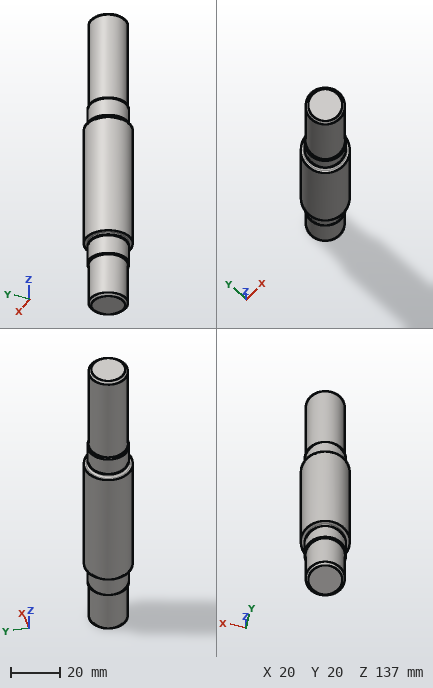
import cadquery as cq

length = 137.0
body_radius = 10.0
journal_diameter = 16.0
journal_radius = journal_diameter / 2
collar_radius = 8.5
end_chamfer = 1.1

body_bottom = 30.0
body_top = 85.0
lower_collar_bottom = 20.0
lower_collar_top = 28.5
upper_collar_bottom = 87.0
upper_collar_top = 95.0
collar_lead_in = 0.8
lower_collar_chamfer = 0.4

upper_root_fillet = 1.0
lower_root_fillet = 0.5
upper_neck = upper_collar_bottom - collar_lead_in

half_section = (
    cq.Workplane("XZ")
    .lineTo(journal_radius - end_chamfer, 0)
    .lineTo(journal_radius, end_chamfer)
    .lineTo(journal_radius, lower_collar_bottom - lower_collar_chamfer)
    .lineTo(collar_radius, lower_collar_bottom)
    .lineTo(collar_radius, lower_collar_top)
    .lineTo(journal_radius, lower_collar_top + collar_lead_in)
    .lineTo(journal_radius, body_bottom - lower_root_fillet)
    .radiusArc((journal_radius + lower_root_fillet, body_bottom), lower_root_fillet)
    .lineTo(body_radius, body_bottom)
    .lineTo(body_radius, body_top)
    .lineTo(journal_radius + upper_root_fillet, body_top)
    .radiusArc((journal_radius, body_top + upper_root_fillet), upper_root_fillet)
    .lineTo(journal_radius, upper_neck)
    .lineTo(collar_radius, upper_collar_bottom)
    .lineTo(collar_radius, upper_collar_top)
    .lineTo(journal_radius, upper_collar_top + collar_lead_in)
    .lineTo(journal_radius, length - end_chamfer)
    .lineTo(journal_radius - end_chamfer, length)
    .lineTo(0, length)
    .close()
)

result = half_section.revolve(360, (0, 0, 0), (0, 1, 0))